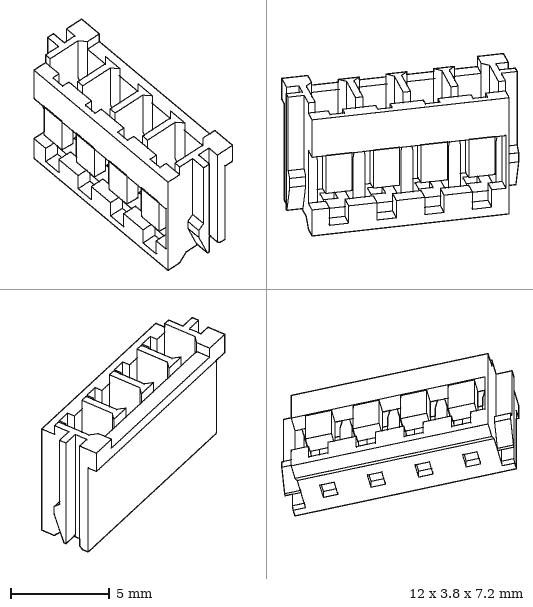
import cadquery as cq


overall_length = 12.0
overall_depth = 3.8
overall_height = 7.2

body_length = 10.32
half_body = body_length / 2
base_z = 0.5
foot_depth = 0.78
foot_slope_end = 1.25
rear_face_y = 3.3
ledge_z = 6.0
front_wall = 0.79
wall_top = 6.62

cavity_count = 4
pitch = 2.5
cavity_width = 2.11
lower_narrowing = 0.12
corner_width = 0.36
corner_depth = 0.34
cavity_rear_y = 3.0
floor_z = 1.05
taper_top_z = 4.49
taper_bottom_z = 3.84
half_cavity = cavity_width / 2
half_lower = half_cavity - lower_narrowing
half_rear = half_cavity - corner_width
cavity_centers = [(i - (cavity_count - 1) / 2) * pitch for i in range(cavity_count)]

window_bottom_z = 1.49
window_top_z = 4.49
window_end_skin = 0.17
tongue_width = 1.37
tongue_setback = 0.05
tongue_front_z = 2.32
tongue_rear_z = 2.25

hole_size = 0.75
hole_center_y = 2.18
bar_slot_y = 0.37
bar_slot_ramp_z = window_top_z

notch_width = 1.01

half_cap_span = 5.81
cap_front_y = 2.77
cap_chamfer = 0.17

flange_rear_y = 2.06
flange_front_y = 1.67
flange_bulge_y = 1.35
flange_tip_y = 1.93
flange_bottom_z = 0.61
bulge_bottom_z = 2.21
bulge_top_z = 2.72
flange_slope_top_z = 3.01


def block(x0, x1, y0, y1, z0, z1):
    """Box between opposite corners."""
    return cq.Workplane("XY").box(x1 - x0, y1 - y0, z1 - z0, centered=False).translate((x0, y0, z0))


def side_profile(points, x0, x1):
    """Prism along X with a (Y, Z) outline."""
    return cq.Workplane("YZ").polyline(points).close().extrude(x1 - x0).translate((x0, 0, 0))


def make_body():
    """Housing body: front foot, sloped underside, rear ledge and stepped front top."""
    outline = [
        (0, 0),
        (foot_depth, 0),
        (foot_slope_end, base_z),
        (rear_face_y, base_z),
        (rear_face_y, ledge_z),
        (overall_depth, ledge_z),
        (overall_depth, overall_height),
        (front_wall, overall_height),
        (front_wall, wall_top),
        (0, wall_top),
    ]
    return side_profile(outline, -half_body, half_body)


def make_end_caps():
    """Rear corner blocks that widen the body at both ends."""
    outline = [
        (cap_front_y + cap_chamfer, base_z),
        (rear_face_y, base_z),
        (rear_face_y, ledge_z),
        (overall_depth, ledge_z),
        (overall_depth, overall_height),
        (cap_front_y, overall_height),
        (cap_front_y, base_z + cap_chamfer),
    ]
    return side_profile(outline, -half_cap_span, half_cap_span)


def make_flanges():
    """Thin end flanges with a latch bulge on the front side."""
    outline = [
        (flange_rear_y, flange_bottom_z),
        (flange_rear_y, overall_height),
        (flange_front_y, overall_height),
        (flange_front_y, flange_slope_top_z),
        (flange_bulge_y, bulge_top_z),
        (flange_bulge_y, bulge_bottom_z),
        (flange_tip_y, flange_bottom_z),
    ]
    return side_profile(outline, -overall_length / 2, overall_length / 2)


def make_cavity(x):
    """Cavity with cut rear corners, narrowing through a short taper into its lower part."""
    corner_y = cavity_rear_y - corner_depth
    plan = [
        (-half_cavity, front_wall),
        (half_cavity, front_wall),
        (half_cavity, corner_y),
        (half_rear, cavity_rear_y),
        (-half_rear, cavity_rear_y),
        (-half_cavity, corner_y),
    ]
    elevation = [
        (-half_lower, floor_z),
        (half_lower, floor_z),
        (half_lower, taper_bottom_z),
        (half_cavity, taper_top_z),
        (half_cavity, overall_height),
        (-half_cavity, overall_height),
        (-half_cavity, taper_top_z),
        (-half_lower, taper_bottom_z),
    ]
    straight = cq.Workplane("XY").polyline(plan).close().extrude(overall_height)
    tapered = cq.Workplane("XZ").polyline(elevation).close().extrude(-overall_depth)
    return straight.intersect(tapered).translate((x, 0, 0))


def make_pin_hole(x):
    """Square hole through the cavity floor."""
    half = hole_size / 2
    return block(x - half, x + half, hole_center_y - half, hole_center_y + half, 0, floor_z)


def make_bar_slot(x):
    """Slot in the back of the front bar, ending in a ramp down into the cavity."""
    ramp_drop = front_wall - bar_slot_y
    outline = [
        (bar_slot_y, wall_top),
        (front_wall, wall_top),
        (front_wall, bar_slot_ramp_z),
        (bar_slot_y, bar_slot_ramp_z + ramp_drop),
    ]
    return side_profile(outline, x - hole_size / 2, x + hole_size / 2)


def make_sill_notch(x):
    """Notch through the sill in front of a cavity."""
    return block(x - notch_width / 2, x + notch_width / 2, 0, front_wall, base_z, window_bottom_z)


def make_tongue(x):
    """Tongue hanging from the front bar into the window."""
    outline = [
        (tongue_setback, window_top_z),
        (front_wall, window_top_z),
        (front_wall, tongue_rear_z),
        (tongue_setback, tongue_front_z),
    ]
    return side_profile(outline, x - tongue_width / 2, x + tongue_width / 2)


window = block(
    -half_body, half_body - window_end_skin, 0, front_wall, window_bottom_z, window_top_z
)
half_rear_gap = cavity_centers[-1] + half_rear
rear_wall_gap = block(
    -half_rear_gap, half_rear_gap, cavity_rear_y, overall_depth, wall_top, overall_height
)

result = make_body().union(make_end_caps()).union(make_flanges())
result = result.cut(window).cut(rear_wall_gap)
for center in cavity_centers:
    result = result.cut(make_cavity(center))
    result = result.cut(make_pin_hole(center))
    result = result.cut(make_bar_slot(center))
    result = result.cut(make_sill_notch(center))
    result = result.union(make_tongue(center))